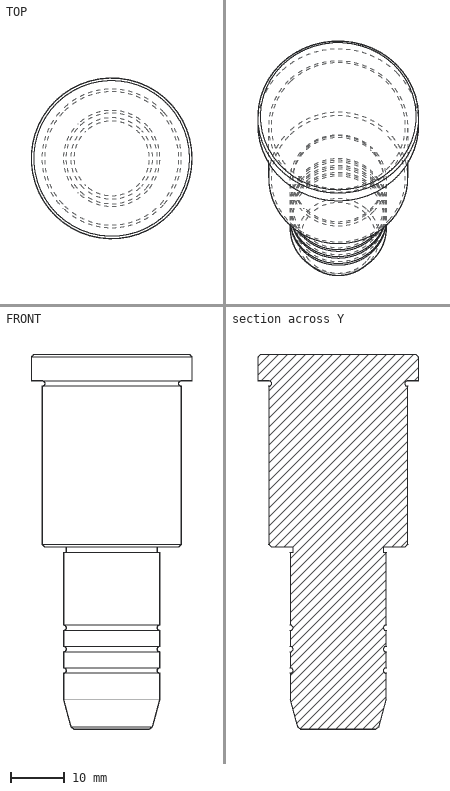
import cadquery as cq
import math

total_length = 70
head_diameter = 30.0
head_thickness = 5.0
body_diameter = 26.0
body_bottom = 34.0
shank_diameter = 18.0
edge_chamfer = 0.5

shank_relief_diameter = 17.0
shank_relief_height = 1.0

taper_height = 5.6
taper_angle = 15
tip_chamfer = 0.5
tip_diameter = shank_diameter - 2 * taper_height * math.tan(math.radians(taper_angle))

groove_count = 3
lowest_groove = 11.0
groove_pitch = 4.0
groove_radius = 0.5

head_bottom = total_length - head_thickness


def cylinder(diameter, bottom, top):
    return cq.Workplane("XY").workplane(offset=bottom).circle(diameter / 2).extrude(top - bottom)


def ring_groove(diameter, height):
    """Half-round groove cutter centred on a cylinder surface."""
    return (
        cq.Workplane("XZ")
        .center(diameter / 2, height)
        .circle(groove_radius)
        .revolve(360, (-diameter / 2, 0), (-diameter / 2, 1))
    )


head = cylinder(head_diameter, head_bottom, total_length).faces(">Z").chamfer(edge_chamfer)

body = cylinder(body_diameter, body_bottom, head_bottom).faces("<Z").chamfer(edge_chamfer)

shank_top = body_bottom - shank_relief_height
shank = cylinder(shank_diameter, taper_height, shank_top)
shank_relief = cylinder(shank_relief_diameter, shank_top, body_bottom)

tip = (
    cq.Workplane("XY")
    .circle(tip_diameter / 2)
    .workplane(offset=taper_height)
    .circle(shank_diameter / 2)
    .loft(ruled=True)
    .faces("<Z")
    .chamfer(tip_chamfer)
)

result = head.union(body).union(shank_relief).union(shank).union(tip)
result = result.cut(ring_groove(body_diameter, head_bottom - groove_radius))
for index in range(groove_count):
    result = result.cut(ring_groove(shank_diameter, lowest_groove + index * groove_pitch))